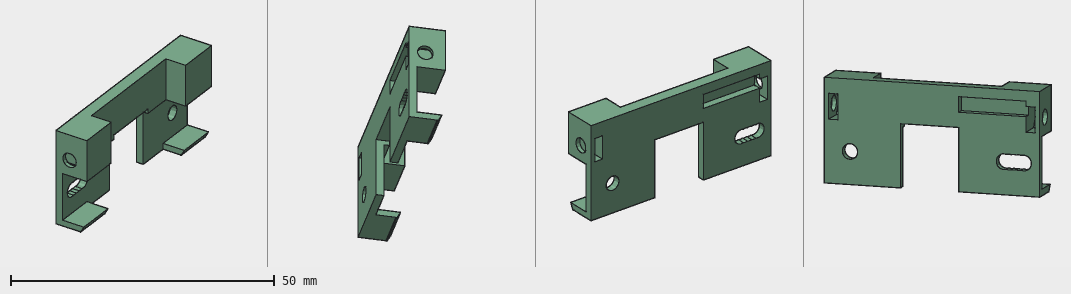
import cadquery as cq
import math

length = 43.05
height = 20.55
depth = 7.05
leg_thickness = 1.55
bar_thickness = 2.6

block_height = 8.95
near_block_length = 8.4
far_block_length = 9.0

lip_length = 8.4
lip_reach = 6.37
lip_thickness = 1.3
point_drop = 0.1
point_x = 5.6
point_start_x = 5.43

notch_start = 16.2
notch_width = 11.63
notch_top_drop = 8.0

hole_diameter = 3.0

screw_inset = 5.15
screw_drop = 14.05
slot_hole_count = 5
slot_hole_pitch = 1.0

pin_x = 3.15
pin_drop = 5.55

nut_inset = 0.9
nut_width = 1.85
nut_across_flats = 5.0

recess_length = 13.45
recess_height = 3.0
recess_drop = 2.02
recess_depth = 1.65

body_bottom = point_drop
lip_top = body_bottom + lip_thickness


def box(x_size, y_start, y_size, z_start, z_size):
    """Box standing on the back face plane X = 0."""
    return cq.Workplane("XY").box(x_size, y_size, z_size, centered=False).translate((0, y_start, z_start))


def profile_along_y(points, y_start, y_size):
    """Closed X-Z outline extruded towards +Y."""
    return cq.Workplane("XZ").polyline(points).close().extrude(-y_size).translate((0, y_start, 0))


def lip(y_start):
    outline = [
        (0, body_bottom),
        (point_start_x, body_bottom),
        (point_x, 0),
        (lip_reach, lip_top),
        (0, lip_top),
    ]
    return profile_along_y(outline, y_start, lip_length)


def nut_pocket(y_start):
    """Straight slot from the back face ending in two hexagon sides that meet at a point."""
    center_z = height - pin_drop
    half_flats = nut_across_flats / 2
    half_side = half_flats * math.tan(math.radians(30))
    outline = [
        (0, center_z - half_flats),
        (pin_x + half_side, center_z - half_flats),
        (pin_x + 2 * half_side, center_z),
        (pin_x + half_side, center_z + half_flats),
        (0, center_z + half_flats),
    ]
    return profile_along_y(outline, y_start, nut_width)


def pin_hole(y_start):
    """Round hole from an end face to the nearest nut pocket."""
    profile = cq.Workplane("XZ").center(pin_x, height - pin_drop).circle(hole_diameter / 2)
    return profile.extrude(-nut_inset).translate((0, y_start, 0))


def screw_hole(y):
    """Round hole through the leg thickness."""
    profile = cq.Workplane("YZ").center(y, height - screw_drop).circle(hole_diameter / 2)
    return profile.extrude(leg_thickness)


block_bottom = height - block_height
result = box(leg_thickness, 0, length, body_bottom, height - body_bottom)
result = result.union(box(bar_thickness, 0, length, block_bottom, block_height))
result = result.union(box(depth, 0, near_block_length, block_bottom, block_height))
far_block_start = length - far_block_length
result = result.union(box(depth, far_block_start, far_block_length, block_bottom, block_height))

for lip_start in (0, length - lip_length):
    result = result.union(lip(lip_start))

result = result.cut(box(depth, notch_start, notch_width, 0, height - notch_top_drop))

result = result.cut(screw_hole(length - screw_inset))
for index in range(slot_hole_count):
    offset = (index - (slot_hole_count - 1) / 2) * slot_hole_pitch
    result = result.cut(screw_hole(screw_inset + offset))

for nut_start in (nut_inset, length - nut_inset - nut_width):
    result = result.cut(nut_pocket(nut_start))
for pin_start in (0, length - nut_inset):
    result = result.cut(pin_hole(pin_start))

recess_start = nut_inset + nut_width
recess_bottom = height - recess_drop - recess_height
result = result.cut(box(recess_depth, recess_start, recess_length, recess_bottom, recess_height))